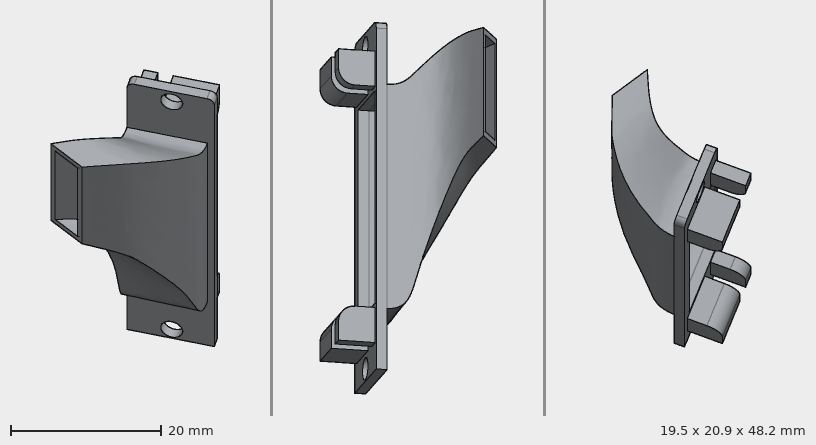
import cadquery as cq
import math

plate_width = 12.05
plate_height = 48.2
plate_thickness = 1.5
plate_corner_radius = 1.0

hole_diameter = 3.0
hole_x = 6.15
lower_hole_z = 1.75
hole_spacing = 44.5

tab_depth = 5.0
tab_height = 4.85
lower_tab_z = 3.8
tab_spacing = 35.48
tab_round = 2.2
tab_spans = ((0.6, 2.5), (4.65, 11.05))

wall = 0.8
duct_width = 11.1
duct_bottom = 8.5
duct_top = 39.5
outlet_bottom = 31.1
outlet_top = 46.1
outlet_left = (-7.4, -11.38)
outlet_right = (-2.3, -14.4)
floor_slope_factor = 1.9

left_stations = (
    (-0.1, -3.85, 12.55, 41.45),
    (-1.45, -7.9, 24.8, 45.2),
    (-4.35, -9.95, 29.55, 46.18),
)
right_stations = (
    (10.25, -4.15, 12.15, 41.0),
    (6.85, -9.55, 22.9, 44.65),
    (3.15, -12.3, 28.2, 46.0),
)


def shift(point, dx, dy):
    return (point[0] + dx, point[1] + dy)


def corner_edge(start, stations, end, z_shift, upper):
    """Long duct edge, leaving the plate at a right angle."""
    z_index = 3 if upper else 2
    middle = [cq.Vector(s[0], s[1], s[z_index] + z_shift) for s in stations]
    points = [cq.Vector(*start), *middle, cq.Vector(*end)]
    leave_direction = cq.Vector(0, -1, 0)
    arrive_direction = (points[-1] - points[-2]).normalized()
    return cq.Edge.makeSpline(points, tangents=[leave_direction, arrive_direction])


def inset_stations(stations, distance):
    """Move stations sideways, in a direction that turns gradually toward the outlet."""
    outlet_angle = math.atan2(outlet_right[1] - outlet_left[1], outlet_right[0] - outlet_left[0])
    moved = []
    for number, station in enumerate(stations, start=1):
        angle = outlet_angle * number / (len(stations) + 1)
        x, y = shift(station, distance * math.cos(angle), distance * math.sin(angle))
        moved.append((x, y, *station[2:]))
    return moved


def duct_body(inset):
    """Solid between four curved corner edges, moved inward by inset."""
    run_x = outlet_right[0] - outlet_left[0]
    run_y = outlet_right[1] - outlet_left[1]
    outlet_width = (run_x**2 + run_y**2) ** 0.5
    step_x = inset * run_x / outlet_width
    step_y = inset * run_y / outlet_width

    floor_inset = floor_slope_factor * inset
    left_end = shift(outlet_left, step_x, step_y)
    right_end = shift(outlet_right, -step_x, -step_y)
    left_inner = inset_stations(left_stations, inset)
    right_inner = inset_stations(right_stations, -inset)

    def edge_pair(base_x, stations, end):
        lower = corner_edge(
            (base_x, 0, duct_bottom + inset), stations, (*end, outlet_bottom + inset), floor_inset, False
        )
        upper = corner_edge(
            (base_x, 0, duct_top - inset), stations, (*end, outlet_top - inset), -inset, True
        )
        return lower, upper

    left_low, left_high = edge_pair(inset, left_inner, left_end)
    right_low, right_high = edge_pair(duct_width - inset, right_inner, right_end)
    around = (left_low, right_low, right_high, left_high)
    sides = [cq.Face.makeRuledSurface(a, b) for a, b in zip(around, around[1:] + around[:1])]
    base = cq.Wire.makePolygon([e.startPoint() for e in around], close=True)
    outlet = cq.Wire.makePolygon([e.endPoint() for e in around], close=True)
    caps = [cq.Face.makeFromWires(base), cq.Face.makeFromWires(outlet)]
    body = cq.Solid.makeSolid(cq.Shell.makeShell(sides + caps))
    return cq.Workplane(body.fix())


def box_between(x_range, y_range, z_range):
    size = [b - a for a, b in (x_range, y_range, z_range)]
    return cq.Workplane().box(*size, centered=False).translate((x_range[0], y_range[0], z_range[0]))


def mounting_plate():
    plate = box_between((0, plate_width), (0, plate_thickness), (0, plate_height))
    return plate.edges("|Y and >Z").fillet(plate_corner_radius)


def tabs():
    """Upper and lower tab pairs, rounded at the rear on the sides facing each other."""
    y_range = (plate_thickness, plate_thickness + tab_depth)
    lower_z = (lower_tab_z, lower_tab_z + tab_height)
    upper_z = (lower_z[0] + tab_spacing, lower_z[1] + tab_spacing)
    tab_set = cq.Workplane()
    for x_range in tab_spans:
        for z_range, rounded_side in ((lower_z, ">Z"), (upper_z, "<Z")):
            tab = box_between(x_range, y_range, z_range)
            tab = tab.faces(">Y").edges(rounded_side).fillet(tab_round)
            tab_set = tab_set.add(tab)
    return tab_set


def screw_holes():
    hole_heights = (lower_hole_z, lower_hole_z + hole_spacing)
    return (
        cq.Workplane("XZ", origin=(0, plate_thickness, 0))
        .pushPoints([(hole_x, z) for z in hole_heights])
        .circle(hole_diameter / 2)
        .extrude(plate_thickness)
    )


plate_opening = box_between(
    (wall, duct_width - wall),
    (0, plate_thickness),
    (duct_bottom + wall, duct_top - wall),
)

duct = duct_body(0).cut(duct_body(wall))
plate = mounting_plate().cut(plate_opening).cut(screw_holes())
result = plate.union(duct)
for tab_solid in tabs().vals():
    result = result.union(cq.Workplane(tab_solid))